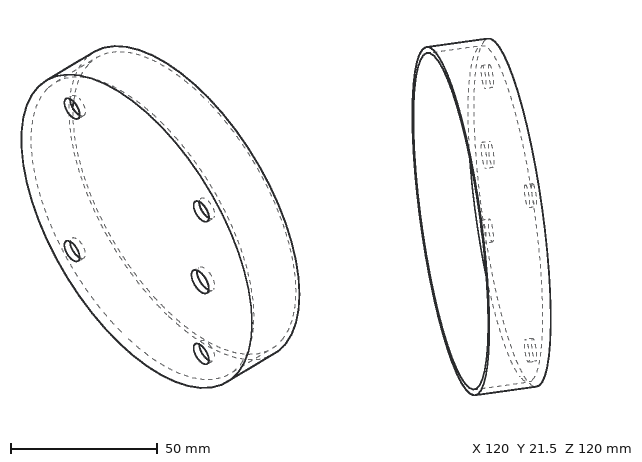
import cadquery as cq

outer_diameter = 120.0
depth = 21.5
face_thickness = 2.5
rim_thickness = 2.0
screw_hole_diameter = 7.9
screw_hole_spacing = 67.2
side_hole_diameter = 9.0
side_hole_offset = 33.0

front = cq.Workplane("XZ")


def round_body(diameter, length):
    """Cylinder running from the front plane toward +Y."""
    return front.circle(diameter / 2).extrude(-length)


inner_diameter = outer_diameter - 2 * rim_thickness
cavity = round_body(inner_diameter, depth).translate((0, face_thickness, 0))
cup = round_body(outer_diameter, depth).cut(cavity)

screw_holes = (
    front.rect(screw_hole_spacing, screw_hole_spacing, forConstruction=True)
    .vertices()
    .circle(screw_hole_diameter / 2)
    .extrude(-depth)
)
side_hole = round_body(side_hole_diameter, depth).translate((side_hole_offset, 0, 0))

result = cup.cut(screw_holes).cut(side_hole).translate((0, -depth / 2, 0))